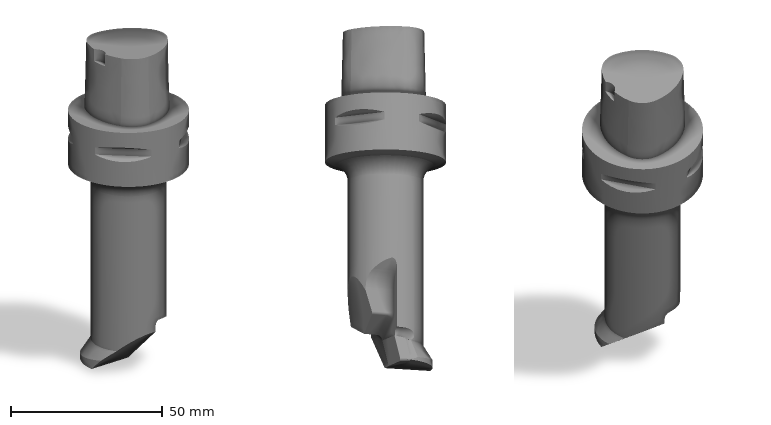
import cadquery as cq
import math


taper_length = 24.0
mean_diameter = 28.05
lobe_height = 0.9
lobe_radius = 8.8
lobe_spacing = 120.0
taper_angle = 1.43
key_radius = 3.6
key_depth = 4.2
key_inset = 10.9

flange_radius = 20.0
flange_height = 19.3
shoulder_radius = 16.0
shoulder_angle = 15.0
shank_radius = 12.5
neck_end_z = -25.8
slot_z = -7.85
slot_floor_distance = 17.7
slot_floor_width = 2.5
slot_flank_angle = 30.0
slot_count = 4

tool_length = 90.0
tool_offset = 17.1
nose_radius = 0.8
insert_edge = 11.6
insert_thickness = 3.97
insert_rise = 0.55
nose_angle = 55.0
end_edge_angle = 3.0
side_edge_angle = end_edge_angle + nose_angle
relief_angle = 7.0
rake_tilt = 3.8
floor_drop = 0.25

head_top_z = -81.5
head_bottom_z = -89.1
flare_angle = 90.0 - side_edge_angle
sweep_radius = 15.1
sweep_center_x = -1.5
back_cut_z = -75.7

wall_x = -7.75
runout_arc_radius = 10.0
runout_angle = 36.0
wall_top_z = -63.7
wall_bottom_z = -72.4
lug_tip_x = 1.5
lug_tip_z = -77.5
lug_rear_angle = 27.0
wall_corner_radius = 1.0
floor_fillet = 1.8
lug_bevel_point = (0, 10.95, -64.7)
lug_bevel_across = 0.19
lug_bevel_along = 0.32

corner_groove_diameter = 4.4
corner_groove_x = -12.7
corner_groove_z = -79.6
relief_top_z = -81.2
relief_setback = 0.42
relief_lean = 4.0

reach = 60.0


def sin(degrees):
    return math.sin(math.radians(degrees))


def cos(degrees):
    return math.cos(math.radians(degrees))


def tan(degrees):
    return math.tan(math.radians(degrees))


def polar(radius, degrees):
    return (radius * cos(degrees), radius * sin(degrees))


def xz_prism(points, y_start, y_end):
    """Prism on an XZ outline, reaching from y_start to y_end."""
    outline = cq.Workplane("XZ", origin=(0, y_end, 0)).polyline(points).close()
    return outline.extrude(y_end - y_start)


def on_rake(shape):
    """Turn a shape about Z so that its y = 0 plane lies on the pocket floor."""
    pivot = (-shank_radius, 0, 0)
    return shape.rotate(pivot, (-shank_radius, 0, 1), rake_tilt).translate((0, -floor_drop, 0))


def coupling():
    """Three-lobed polygon of tangent arcs, narrowing toward the top."""
    apex = mean_diameter / 2 + lobe_height
    flat = mean_diameter / 2 - lobe_height
    lobe_center = apex - lobe_radius
    inner_flat = flat - lobe_radius
    flank_center = (lobe_center ** 2 - inner_flat ** 2) / (2 * inner_flat - lobe_center)
    run = lobe_center + flank_center * cos(lobe_spacing / 2)
    rise = flank_center * sin(lobe_spacing / 2)
    turn = math.atan2(rise, run)
    joint_x = lobe_center + lobe_radius * math.cos(turn)
    joint_y = lobe_radius * math.sin(turn)
    joint_radius = math.hypot(joint_x, joint_y)
    joint_angle = math.degrees(math.atan2(joint_y, joint_x))

    lobe_angles = (90, 90 + lobe_spacing, 90 + 2 * lobe_spacing)
    outline = cq.Workplane("XY").moveTo(*polar(joint_radius, lobe_angles[0] - joint_angle))
    for lobe in lobe_angles:
        outline = outline.threePointArc(polar(apex, lobe), polar(joint_radius, lobe + joint_angle))
        next_joint = polar(joint_radius, lobe + lobe_spacing - joint_angle)
        outline = outline.threePointArc(polar(flat, lobe + lobe_spacing / 2), next_joint)
    body = outline.close().extrude(taper_length, taper=taper_angle)

    key = cq.Workplane("XY", origin=(0, -key_inset - key_radius, taper_length - key_depth))
    return body.cut(key.circle(key_radius).extrude(key_depth))


def revolved_body():
    """Flange, shoulder, concave neck, shank and flared head about Z."""
    shoulder_z = -flange_height - (flange_radius - shoulder_radius) * tan(shoulder_angle)
    neck_height = shoulder_z - neck_end_z
    neck_width = shoulder_radius - shank_radius
    neck_radius = (neck_height ** 2 + neck_width ** 2) / (2 * neck_width)
    half_turn = math.degrees(math.asin(neck_height / neck_radius)) / 2
    neck_middle = (
        shank_radius + neck_radius * (1 - cos(half_turn)),
        neck_end_z + neck_radius * sin(half_turn),
    )
    flare_radius = shank_radius + (head_top_z - head_bottom_z) * tan(flare_angle)
    profile = (
        cq.Workplane("XZ")
        .lineTo(flange_radius, 0)
        .lineTo(flange_radius, -flange_height)
        .lineTo(shoulder_radius, shoulder_z)
        .threePointArc(neck_middle, (shank_radius, neck_end_z))
        .lineTo(shank_radius, head_top_z)
        .lineTo(flare_radius, head_bottom_z)
        .lineTo(0, head_bottom_z)
        .close()
    )
    return profile.revolve(360, (0, 0, 0), (0, 1, 0))


def head_trim():
    """Everything on the head that lies outside the sweep cylinder."""
    base = cq.Workplane("XY", origin=(sweep_center_x, 0, head_bottom_z))
    return base.circle(reach).circle(sweep_radius).extrude(head_top_z - head_bottom_z)


def gripper_slots():
    """Trapezoidal grooves across the flange, on the diagonals."""
    depth = flange_radius - slot_floor_distance
    floor_half = slot_floor_width / 2
    mouth_half = floor_half + depth * tan(slot_flank_angle)
    outline = [
        (slot_floor_distance, slot_z - floor_half),
        (flange_radius, slot_z - mouth_half),
        (flange_radius, slot_z + mouth_half),
        (slot_floor_distance, slot_z + floor_half),
    ]
    slot = xz_prism(outline, -flange_radius, flange_radius)
    spacing = 360 / slot_count
    return [slot.rotate((0, 0, 0), (0, 0, 1), spacing * (i + 0.5)) for i in range(slot_count)]


def back_cut():
    """45 degree cut that removes the head behind the insert."""
    outline = [
        (shank_radius + reach, back_cut_z + reach),
        (shank_radius - reach, back_cut_z - reach),
        (shank_radius + reach, back_cut_z - reach),
    ]
    return xz_prism(outline, -reach, reach)


def chip_pocket():
    """Pocket above the rake plane: run-out, upright wall, lug underside and open end."""
    arc_bottom = (wall_x, wall_top_z)
    arc_middle = (
        wall_x - runout_arc_radius * (1 - cos(runout_angle / 2)),
        wall_top_z + runout_arc_radius * sin(runout_angle / 2),
    )
    arc_top_x = wall_x - runout_arc_radius * (1 - cos(runout_angle))
    arc_top_z = wall_top_z + runout_arc_radius * sin(runout_angle)
    runout_end_z = wall_top_z + reach
    runout_end_x = arc_top_x - (runout_end_z - arc_top_z) * tan(runout_angle)
    pocket = (
        cq.Workplane("XZ", origin=(0, reach, 0))
        .moveTo(runout_end_x, runout_end_z)
        .lineTo(arc_top_x, arc_top_z)
        .threePointArc(arc_middle, arc_bottom)
        .lineTo(wall_x, wall_bottom_z)
        .lineTo(lug_tip_x, lug_tip_z)
        .lineTo(lug_tip_x + reach, lug_tip_z + reach * tan(lug_rear_angle))
        .lineTo(lug_tip_x + reach, -tool_length - reach)
        .lineTo(runout_end_x, -tool_length - reach)
        .close()
        .extrude(reach)
    )
    corner = cq.selectors.NearestToPointSelector((wall_x, reach / 2, wall_bottom_z))
    pocket = pocket.edges("|Y").edges(corner).fillet(wall_corner_radius)
    return on_rake(pocket.faces("<Y").edges().fillet(floor_fillet))


def lug_bevel():
    """Sloping flat across the outside of the lug beside the chip pocket."""
    plane = cq.Plane(
        origin=lug_bevel_point,
        xDir=(1, lug_bevel_across, 0),
        normal=(-lug_bevel_across, 1, -lug_bevel_along),
    )
    return cq.Workplane(plane).rect(reach, reach).extrude(reach)


def nose_center():
    """Centre of the nose arc, set by the tool length and offset."""
    return (-tool_offset + nose_radius, -tool_length + nose_radius)


def nose_point():
    """Sharp corner where the two cutting edges would meet."""
    bisector = (end_edge_angle + side_edge_angle) / 2
    offset_x, offset_z = polar(nose_radius / sin(nose_angle / 2), bisector)
    center_x, center_z = nose_center()
    return (center_x - offset_x, center_z - offset_z)


def corner_groove():
    """Round groove along Y that clears the back corner of the insert."""
    base = cq.Workplane("XZ", origin=(corner_groove_x, reach, corner_groove_z))
    return base.circle(corner_groove_diameter / 2).extrude(2 * reach)


def edge_relief():
    """Wedge that leaves a flat just behind the side cutting edge."""
    nose_x, nose_z = nose_point()
    edge_x = nose_x + relief_setback
    slope = 1 / tan(side_edge_angle)
    low_z = -tool_length - reach / 2
    outline = [
        (edge_x + slope * (relief_top_z - nose_z), relief_top_z),
        (-reach, relief_top_z),
        (-reach, low_z),
        (edge_x + slope * (low_z - nose_z), low_z),
    ]
    wedge = xz_prism(outline, -reach, reach)
    edge_end = (edge_x + cos(side_edge_angle), 0, nose_z + sin(side_edge_angle))
    return on_rake(wedge.rotate((edge_x, 0, nose_z), edge_end, relief_lean))


def cutting_insert():
    """55 degree rhombus whose four sides taper away from the rake face."""
    nose_x, nose_z = nose_point()
    end_dx, end_dz = polar(insert_edge, end_edge_angle)
    side_dx, side_dz = polar(insert_edge, side_edge_angle)
    outline = [
        (nose_x, nose_z),
        (nose_x + end_dx, nose_z + end_dz),
        (nose_x + end_dx + side_dx, nose_z + end_dz + side_dz),
        (nose_x + side_dx, nose_z + side_dz),
    ]
    top = cq.Workplane("XZ", origin=(0, insert_rise, 0))
    blank = top.polyline(outline).close().extrude(insert_thickness, taper=relief_angle)
    nose = cq.selectors.NearestToPointSelector((nose_x, insert_rise - insert_thickness / 2, nose_z))
    return on_rake(blank.edges("not(#Y)").edges(nose).fillet(nose_radius))


insert = cutting_insert()

holder = revolved_body().union(coupling()).cut(head_trim())
for slot in gripper_slots():
    holder = holder.cut(slot)
for cutter in (back_cut(), chip_pocket(), lug_bevel(), edge_relief(), corner_groove(), insert):
    holder = holder.cut(cutter)

result = cq.Compound.makeCompound([holder.val(), insert.val()])